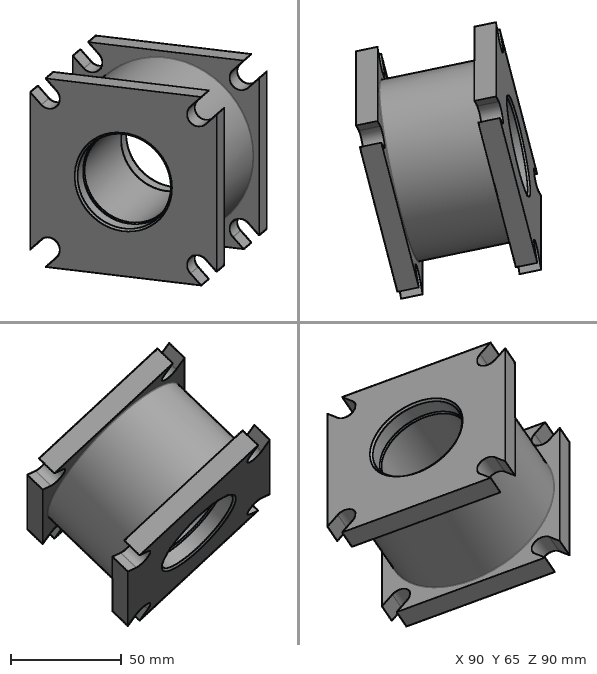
import cadquery as cq
import math

flange_side = 90.0
total_length = 65.0
flange_thickness = 10.0

barrel_diameter = 84.0
root_fillet = 0.2

bore_diameter = 44.0
seat_diameter = 45.0
seat_depth = 8.0
cone_angle = 30.0
mouth_chamfer = 1.0

slot_width = 10.5
slot_inset = 9.0

half_length = total_length / 2
barrel_end = half_length - flange_thickness
slot_centre = flange_side / 2 - slot_inset
slot_reach = 2 * slot_inset * math.sqrt(2)


def cylinder(diameter, start, end):
    """Cylinder on the Y axis between two Y positions."""
    base = cq.Workplane("XZ", origin=(0, start, 0))
    return base.circle(diameter / 2).extrude(start - end)


def make_barrel():
    """Barrel between the flanges, flared by a concave fillet at both ends."""
    barrel_radius = barrel_diameter / 2
    root_radius = barrel_radius + root_fillet
    fillet_end = barrel_end - root_fillet
    section = (
        cq.Workplane("XY")
        .moveTo(0, -barrel_end)
        .lineTo(root_radius, -barrel_end)
        .radiusArc((barrel_radius, -fillet_end), root_fillet)
        .lineTo(barrel_radius, fillet_end)
        .radiusArc((root_radius, barrel_end), root_fillet)
        .lineTo(0, barrel_end)
        .close()
    )
    return section.revolve(360, (0, 0, 0), (0, 1, 0))


def make_flange(start):
    """Square plate reaching from Y = start by one flange thickness."""
    middle = start + flange_thickness / 2
    plate = cq.Workplane("XY").box(flange_side, flange_thickness, flange_side)
    return plate.translate((0, middle, 0))


def make_corner_slot(angle):
    """Round-ended slot running outward from its bolt centre along a diagonal."""
    rounded_end = cylinder(slot_width, -half_length, half_length)
    channel = cq.Workplane("XY").box(slot_reach, total_length, slot_width)
    slot = rounded_end.union(channel.translate((slot_reach / 2, 0, 0)))
    slot = slot.translate((slot_centre * math.sqrt(2), 0, 0))
    return slot.rotate((0, 0, 0), (0, 1, 0), angle)


def make_bore():
    """Stepped bore cutter: a half section revolved about the Y axis."""
    bore_radius = bore_diameter / 2
    seat_radius = seat_diameter / 2
    mouth_radius = seat_radius + mouth_chamfer
    seat_end = half_length - seat_depth
    chamfer_end = half_length - mouth_chamfer
    cone_length = (seat_radius - bore_radius) / math.tan(math.radians(cone_angle))
    cone_end = seat_end - cone_length
    section = (
        cq.Workplane("XY")
        .moveTo(0, -half_length)
        .lineTo(mouth_radius, -half_length)
        .lineTo(seat_radius, -chamfer_end)
        .lineTo(seat_radius, -seat_end)
        .lineTo(bore_radius, -cone_end)
        .lineTo(bore_radius, cone_end)
        .lineTo(seat_radius, seat_end)
        .lineTo(seat_radius, chamfer_end)
        .lineTo(mouth_radius, half_length)
        .lineTo(0, half_length)
        .close()
    )
    return section.revolve(360, (0, 0, 0), (0, 1, 0))


result = make_barrel()
for flange_start in (-half_length, barrel_end):
    result = result.union(make_flange(flange_start))

for corner_angle in (45, 135, 225, 315):
    result = result.cut(make_corner_slot(corner_angle))

result = result.cut(make_bore())